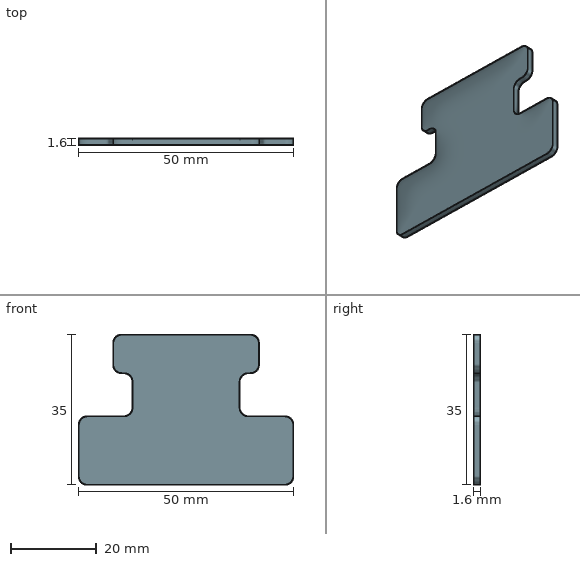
import cadquery as cq

base_width = 50.0
total_height = 35.0
thickness = 1.6

base_height = 16.0
neck_width = 25.0
neck_top = 26.0
head_width = 34.0
corner_radius = 2.0


def centered_block(width, bottom, top):
    """Plate-thick block centered in X and Y, spanning bottom to top in Z."""
    return (
        cq.Workplane("XY")
        .box(width, thickness, top - bottom, centered=(True, True, False))
        .translate((0, 0, bottom))
    )


base = centered_block(base_width, 0, base_height)
neck = centered_block(neck_width, base_height, neck_top)
head = centered_block(head_width, neck_top, total_height)

result = base.union(neck).union(head).clean().edges("|Y").fillet(corner_radius)